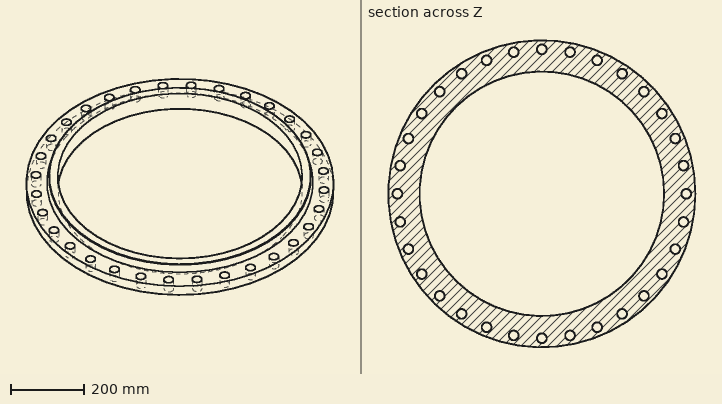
import cadquery as cq

outer_diameter = 838.0
bore_diameter = 666.0
total_height = 57.0
plate_thickness = 33.0

hub_base_diameter = 726.0
hub_upper_diameter = 716.0
hub_chamfer = 2.0

bolt_count = 32
bolt_circle_diameter = 788.0
bolt_hole_diameter = 26.0


def flange_body():
    """Revolve the half cross-section of plate and hub around the Z axis."""
    bore_radius = bore_diameter / 2
    outer_radius = outer_diameter / 2
    hub_base_radius = hub_base_diameter / 2
    hub_upper_radius = hub_upper_diameter / 2
    half_section = (
        cq.Workplane("XZ")
        .moveTo(bore_radius, 0)
        .lineTo(outer_radius, 0)
        .lineTo(outer_radius, plate_thickness)
        .lineTo(hub_base_radius, plate_thickness)
        .lineTo(hub_upper_radius, total_height - hub_chamfer)
        .lineTo(hub_upper_radius - hub_chamfer, total_height)
        .lineTo(bore_radius, total_height)
        .close()
    )
    return half_section.revolve(360, (0, 0, 0), (0, 1, 0))


def bolt_holes():
    """Cylinders for the ring of bolt holes through the plate, one of them on +X."""
    return (
        cq.Workplane("XY")
        .polarArray(bolt_circle_diameter / 2, 0, 360, bolt_count)
        .circle(bolt_hole_diameter / 2)
        .extrude(plate_thickness)
    )


result = flange_body().cut(bolt_holes())